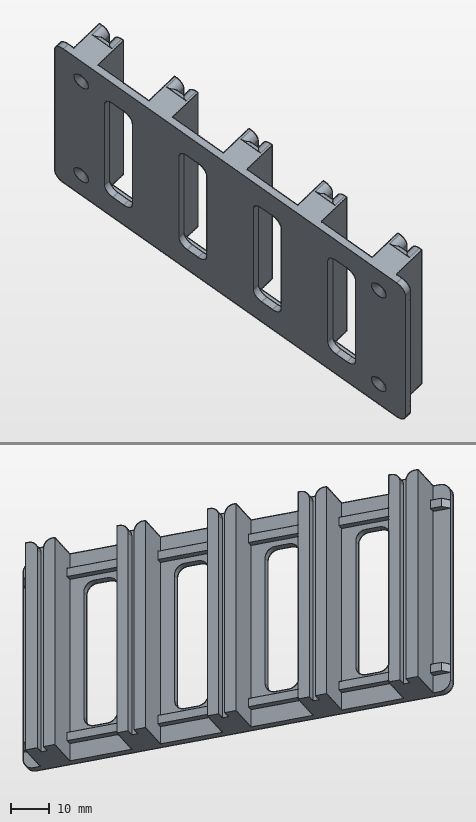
import cadquery as cq
import math

plate_length = 119.6
plate_height = 60.0
plate_thickness = 2.0
corner_radius = 3.0

total_depth = 12.2
post_count = 5
post_pitch = 25.4
post_width = 8.0
end_post_lip = 0.2

groove_width = 1.7
groove_depth = 2.5
flare_radius = 2.5
floor_drop = 0.8
floor_run = 1.4

window_width = 9.5
window_height = 42.1
window_corner_radius = 2.9

sink_diameter = 5.0
sink_depth = plate_thickness

rail_depth = 1.8
rail_height = 2.4
rail_offset = 23.8

post_positions = [(i - (post_count - 1) / 2) * post_pitch for i in range(post_count)]
end_post_x = post_positions[-1]
half_height = plate_height / 2


def front_plane(y):
    """Sketch plane parallel to the plate face; its extrusions run toward +Y."""
    return cq.Workplane("XZ", origin=(0, y, 0))


def make_plate():
    plate = front_plane(0).rect(plate_length, plate_height).extrude(-plate_thickness)
    return plate.edges("|Y").fillet(corner_radius)


def make_windows():
    window_positions = [(x + post_pitch / 2, 0) for x in post_positions[:-1]]
    windows = front_plane(0).pushPoints(window_positions).rect(window_width, window_height)
    return windows.extrude(-plate_thickness).edges("|Y").fillet(window_corner_radius)


def make_post(x):
    left = x - post_width / 2
    right = x + post_width / 2
    if x == post_positions[0]:
        left -= end_post_lip
    if x == post_positions[-1]:
        right += end_post_lip
    return (
        cq.Workplane("XY")
        .box(right - left, total_depth, plate_height, centered=(False, False, True))
        .translate((left, 0, 0))
    )


def make_groove(x):
    """Straight slot through the full height, opening into a flare at the top."""
    floor_y = total_depth - groove_depth
    slot = (
        cq.Workplane("XY")
        .box(groove_width, groove_depth, plate_height, centered=(True, False, True))
        .translate((0, floor_y, 0))
    )
    half_throat = groove_width / 2
    half_mouth = half_throat + flare_radius
    arc_bottom = half_height - flare_radius
    arc_mid_x = half_mouth - flare_radius * math.sqrt(0.5)
    arc_mid_z = arc_bottom + flare_radius * math.sqrt(0.5)
    throat = (
        front_plane(floor_y - floor_run)
        .moveTo(-half_throat, arc_bottom)
        .lineTo(half_throat, arc_bottom)
        .threePointArc((arc_mid_x, arc_mid_z), (half_mouth, half_height))
        .lineTo(-half_mouth, half_height)
        .threePointArc((-arc_mid_x, arc_mid_z), (-half_throat, arc_bottom))
        .close()
        .extrude(-(groove_depth + floor_run))
    )
    above_floor = (
        cq.Workplane("YZ", origin=(-half_mouth, 0, 0))
        .moveTo(floor_y - floor_run, half_height)
        .lineTo(floor_y, half_height - floor_drop)
        .lineTo(floor_y, arc_bottom)
        .lineTo(total_depth, arc_bottom)
        .lineTo(total_depth, half_height)
        .close()
        .extrude(2 * half_mouth)
    )
    return slot.union(throat.intersect(above_floor)).translate((x, 0, 0))


def make_rail(z):
    """Bar reaching both plate ends, sloping at 45 degrees down to the plate."""
    half_length = plate_length / 2
    return (
        cq.Workplane("XY", origin=(0, 0, z - rail_height / 2))
        .polyline([
            (-half_length, plate_thickness),
            (half_length, plate_thickness),
            (half_length - rail_depth, plate_thickness + rail_depth),
            (rail_depth - half_length, plate_thickness + rail_depth),
        ])
        .close()
        .extrude(rail_height)
    )


def make_sink(x, z):
    cone = cq.Solid.makeCone(
        sink_diameter / 2, 0, sink_depth, pnt=cq.Vector(x, 0, z), dir=cq.Vector(0, 1, 0)
    )
    return cq.Workplane(obj=cone)


result = make_plate().cut(make_windows())

for z in (-rail_offset, rail_offset):
    result = result.union(make_rail(z))

for x in post_positions:
    result = result.union(make_post(x)).cut(make_groove(x))

for x in (-end_post_x, end_post_x):
    for z in (-window_height / 2, window_height / 2):
        result = result.cut(make_sink(x, z))